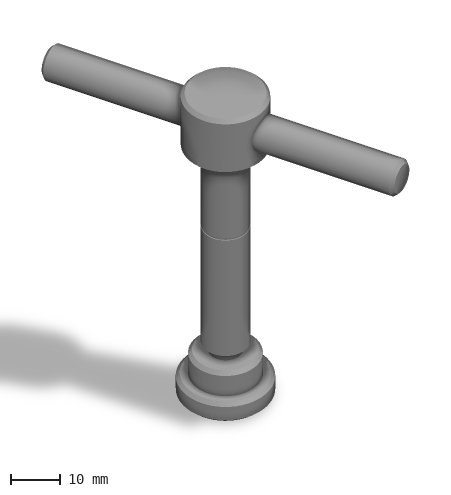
import cadquery as cq

TOTAL_HEIGHT = 77.6
EDGE_CHAMFER = 0.8

FLANGE_DIAMETER = 20.0
FLANGE_HEIGHT = 5.0
COLLAR_DIAMETER = 15.0
COLLAR_HEIGHT = 6.0
NECK_DIAMETER = 7.0
NECK_HEIGHT = 1.5

SHAFT_DIAMETER = 10.0
GROOVE_BELOW_HEAD = 20.0
GROOVE_WIDTH = 0.5
GROOVE_DEPTH = 0.2

HEAD_DIAMETER = 18.0
HEAD_HEIGHT = 14.0
BAR_DIAMETER = 8.0
BAR_LENGTH = 80.0

collar_base = FLANGE_HEIGHT
neck_base = collar_base + COLLAR_HEIGHT
shaft_base = neck_base + NECK_HEIGHT
head_base = TOTAL_HEIGHT - HEAD_HEIGHT
groove_level = head_base - GROOVE_BELOW_HEAD
bar_level = head_base + HEAD_HEIGHT / 2


def cylinder(diameter, base, height):
    """Upright cylinder on the Z axis."""
    return cq.Workplane("XY").workplane(offset=base).circle(diameter / 2).extrude(height)


def make_pad():
    """Chamfered flange and collar, with the neck that joins them to the shaft."""
    flange = cylinder(FLANGE_DIAMETER, 0, FLANGE_HEIGHT).edges().chamfer(EDGE_CHAMFER)
    collar = cylinder(COLLAR_DIAMETER, collar_base, COLLAR_HEIGHT).edges(">Z").chamfer(EDGE_CHAMFER)
    neck = cylinder(NECK_DIAMETER, neck_base, NECK_HEIGHT)
    return flange.union(collar).union(neck)


def make_groove():
    """Thin ring with a rectangular section, cut into the shaft surface."""
    base = groove_level - GROOVE_WIDTH / 2
    outer = cylinder(SHAFT_DIAMETER, base, GROOVE_WIDTH)
    core = cylinder(SHAFT_DIAMETER - 2 * GROOVE_DEPTH, base, GROOVE_WIDTH)
    return outer.cut(core)


def make_shaft():
    """Shaft from the neck up to the head, chamfered at its lower end."""
    shaft = cylinder(SHAFT_DIAMETER, shaft_base, head_base - shaft_base)
    return shaft.edges("<Z").chamfer(EDGE_CHAMFER).cut(make_groove())


def make_head():
    """Cylindrical head, chamfered at both ends."""
    return cylinder(HEAD_DIAMETER, head_base, HEAD_HEIGHT).edges().chamfer(EDGE_CHAMFER)


def make_bar():
    """Cross bar along X, chamfered at both ends."""
    bar = (
        cq.Workplane("YZ")
        .center(0, bar_level)
        .circle(BAR_DIAMETER / 2)
        .extrude(BAR_LENGTH / 2, both=True)
    )
    return bar.faces("<X or >X").edges().chamfer(EDGE_CHAMFER)


result = make_pad().union(make_shaft()).union(make_head()).union(make_bar())